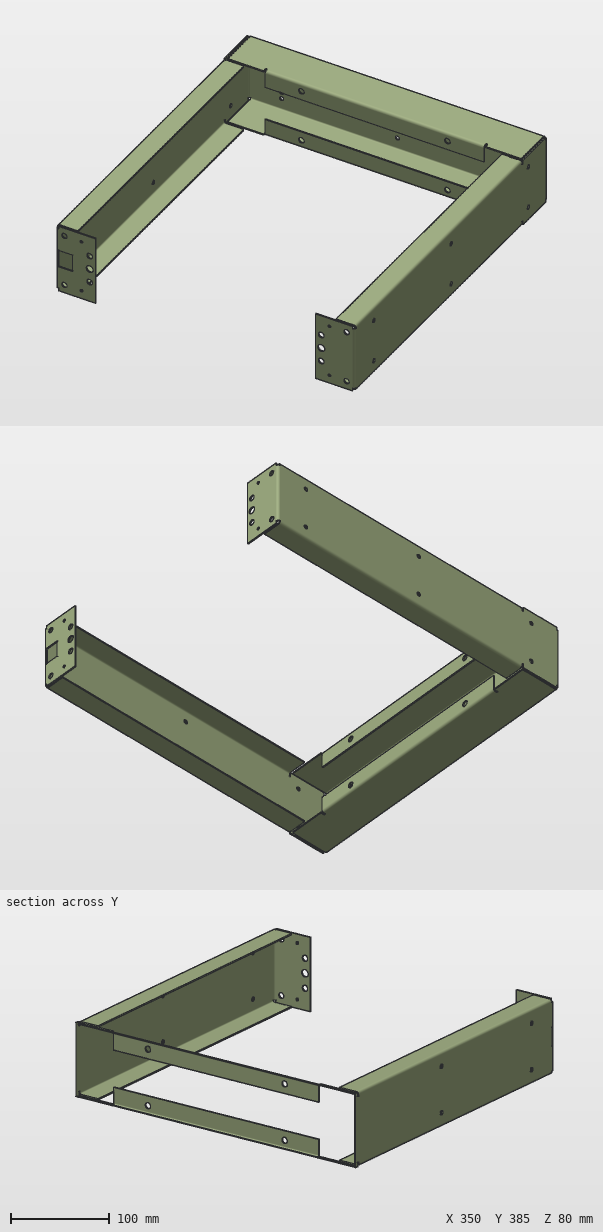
import cadquery as cq

WIDTH = 350.0
DEPTH = 385.0
HEIGHT = 80.0
SHEET = 1.5
BEND_RADIUS = 2 * SHEET
RELIEF_WIDTH = SHEET
RELIEF_DEPTH = 3 * SHEET

RAIL_DEPTH = 47.5
LIP_HEIGHT = 20.0
LIP_LENGTH = 256.5
ARM_FLANGE_WIDTH = 24.0
FRONT_TAB_WIDTH = 46.2

CORNER_HOLE = 6.0
PILOT_HOLE = 3.0
OUTER_MOUNT_HOLE = 6.5
MIDDLE_MOUNT_HOLE = 8.0
LIP_HOLE = 6.5
WALL_HOLE = 4.5
CENTRE_HOLE = 10.0

TAB_HOLE_Z = 30.5
CORNER_HOLE_X = 165.0
PILOT_HOLE_X = 145.0
MOUNT_HOLE_X = 135.5
MOUNT_HOLE_Z = 16.0
LIP_HOLE_X = 85.5
WALL_HOLE_Z = 25.0
WALL_HOLE_INSET = 38.0

CROSS_LENGTH = 20.0
CROSS_WIDTH = 1.5
WINDOW_INSET = 0.5
WINDOW_HEIGHT = 20.5
WINDOW_EDGE_X = -155.5

SIDE = WIDTH / 2
FRONT = -DEPTH / 2
REAR = DEPTH / 2
TOP = HEIGHT / 2
RAIL_FRONT = REAR - RAIL_DEPTH
ARM_REAR = RAIL_FRONT - 2 * RELIEF_WIDTH
PANEL_END = SIDE - BEND_RADIUS
LIP_END = LIP_LENGTH / 2
SIGNS = (-1, 1)


def block(x_range, y_range, z_range):
    """Box between two limits on each axis, in either order."""
    lows = [min(r) for r in (x_range, y_range, z_range)]
    sizes = [abs(r[1] - r[0]) for r in (x_range, y_range, z_range)]
    return cq.Workplane("XY").box(*sizes, centered=False).translate(tuple(lows))


def folded_tube(x_range, y_range, z_range, axis):
    """Sheet folded four times into a rectangular tube along the given axis."""
    ranges = {"X": x_range, "Y": y_range, "Z": z_range}
    inner = {
        name: limits if name == axis else (limits[0] + SHEET, limits[1] - SHEET)
        for name, limits in ranges.items()
    }
    outside = block(*ranges.values()).edges("|" + axis).fillet(BEND_RADIUS)
    inside = block(*inner.values()).edges("|" + axis).fillet(BEND_RADIUS - SHEET)
    return outside.cut(inside)


def make_walls():
    """Rear wall, side walls and front tabs, with the side walls raised beside the rail."""
    wall_top = TOP - BEND_RADIUS
    walls = folded_tube((-SIDE, SIDE), (FRONT, REAR), (-wall_top, wall_top), "Z")
    tab_end = SIDE - FRONT_TAB_WIDTH
    walls = walls.cut(block((-tab_end, tab_end), (FRONT, FRONT + SHEET), (-TOP, TOP)))
    for side in SIGNS:
        tab = block((side * tab_end, side * PANEL_END), (FRONT, FRONT + SHEET), (-TOP, TOP))
        raised_wall = block(
            (side * SIDE, side * (SIDE - SHEET)),
            (ARM_REAR + RELIEF_WIDTH, REAR - BEND_RADIUS),
            (-TOP, TOP),
        )
        walls = walls.union(tab).union(raised_wall)
    return walls


def make_arm_flanges():
    """Top and bottom flanges of both arms, with the bends into the side walls."""
    flanges = folded_tube((-SIDE, SIDE), (FRONT + BEND_RADIUS, ARM_REAR), (-TOP, TOP), "Y")
    opening = SIDE - ARM_FLANGE_WIDTH
    return flanges.cut(block((-opening, opening), (FRONT, REAR), (-TOP, TOP)))


def make_rail():
    """Rear rail: top and bottom panels with lips turned towards each other at the front."""
    rail = folded_tube((-PANEL_END, PANEL_END), (RAIL_FRONT, REAR), (-TOP, TOP), "X")
    lip_edge = TOP - LIP_HEIGHT
    rail = rail.cut(block((-SIDE, SIDE), (RAIL_FRONT, RAIL_FRONT + SHEET), (-lip_edge, lip_edge)))
    relief_rear = RAIL_FRONT + RELIEF_DEPTH
    for side in SIGNS:
        rail = rail.cut(block((side * LIP_END, side * SIDE), (RAIL_FRONT, relief_rear), (-TOP, TOP)))
        for level in SIGNS:
            panel_corner = block(
                (side * (LIP_END + RELIEF_WIDTH), side * PANEL_END),
                (RAIL_FRONT, relief_rear),
                (level * TOP, level * (TOP - SHEET)),
            )
            rail = rail.union(panel_corner)
    return rail


def cut_wall_reliefs(body):
    """Slits in the side walls between the arm flanges and the raised wall."""
    for level in SIGNS:
        slit = block(
            (-SIDE, SIDE),
            (ARM_REAR, ARM_REAR + RELIEF_WIDTH),
            (level * TOP, level * (TOP - RELIEF_DEPTH)),
        )
        body = body.cut(slit)
    return body


def cut_y_holes(body, points, diameter, y_range):
    """Round holes along Y at (x, z) points, through the sheet inside y_range."""
    length = y_range[1] - y_range[0]
    for x, z in points:
        drill = cq.Solid.makeCylinder(
            diameter / 2, length, cq.Vector(x, y_range[0], z), cq.Vector(0, 1, 0)
        )
        body = body.cut(cq.Workplane(drill))
    return body


def mirrored(x, z):
    """The four points placed symmetrically about both centre lines."""
    return [(sx * x, sz * z) for sx in SIGNS for sz in SIGNS]


def cut_front_tabs(body):
    """Fixing holes in both mounting tabs and the window in the left one."""
    tab_sheet = (FRONT, FRONT + SHEET)
    body = cut_y_holes(body, mirrored(CORNER_HOLE_X, TAB_HOLE_Z), CORNER_HOLE, tab_sheet)
    body = cut_y_holes(body, mirrored(PILOT_HOLE_X, TAB_HOLE_Z), PILOT_HOLE, tab_sheet)
    window = block(
        (-SIDE + WINDOW_INSET, WINDOW_EDGE_X),
        (FRONT, FRONT + BEND_RADIUS),
        (-WINDOW_HEIGHT / 2, WINDOW_HEIGHT / 2),
    )
    return body.cut(window)


def cut_mount_holes(body):
    """Rows of three holes through both front tabs and the rear wall behind them."""
    middle_points = [(side * MOUNT_HOLE_X, 0) for side in SIGNS]
    body = cut_y_holes(body, mirrored(MOUNT_HOLE_X, MOUNT_HOLE_Z), OUTER_MOUNT_HOLE, (FRONT, REAR))
    return cut_y_holes(body, middle_points, MIDDLE_MOUNT_HOLE, (FRONT, REAR))


def cut_rail_holes(body):
    """Holes in the rail lips and the rear wall, with the crossed slots at the centre."""
    lip_sheet = (RAIL_FRONT, RAIL_FRONT + SHEET)
    rear_sheet = (REAR - SHEET, REAR)
    body = cut_y_holes(body, mirrored(LIP_HOLE_X, TAB_HOLE_Z), LIP_HOLE, lip_sheet)
    columns = (-MOUNT_HOLE_X, 0, MOUNT_HOLE_X)
    wall_points = [(x, level * WALL_HOLE_Z) for x in columns for level in SIGNS]
    body = cut_y_holes(body, wall_points, WALL_HOLE, rear_sheet)
    body = cut_y_holes(body, [(0, 0)], CENTRE_HOLE, rear_sheet)
    long_side = (-CROSS_LENGTH / 2, CROSS_LENGTH / 2)
    short_side = (-CROSS_WIDTH / 2, CROSS_WIDTH / 2)
    body = body.cut(block(long_side, rear_sheet, short_side))
    return body.cut(block(short_side, rear_sheet, long_side))


def cut_side_holes(body):
    """Rows of three holes near the top and bottom of both side walls."""
    end_y = REAR - WALL_HOLE_INSET
    for y in (-end_y, 0, end_y):
        for level in SIGNS:
            start = cq.Vector(-SIDE, y, level * WALL_HOLE_Z)
            drill = cq.Solid.makeCylinder(WALL_HOLE / 2, WIDTH, start, cq.Vector(1, 0, 0))
            body = body.cut(cq.Workplane(drill))
    return body


frame = make_walls().union(make_arm_flanges()).union(make_rail())
frame = cut_wall_reliefs(frame)
frame = cut_front_tabs(frame)
frame = cut_mount_holes(frame)
frame = cut_rail_holes(frame)
result = cut_side_holes(frame)